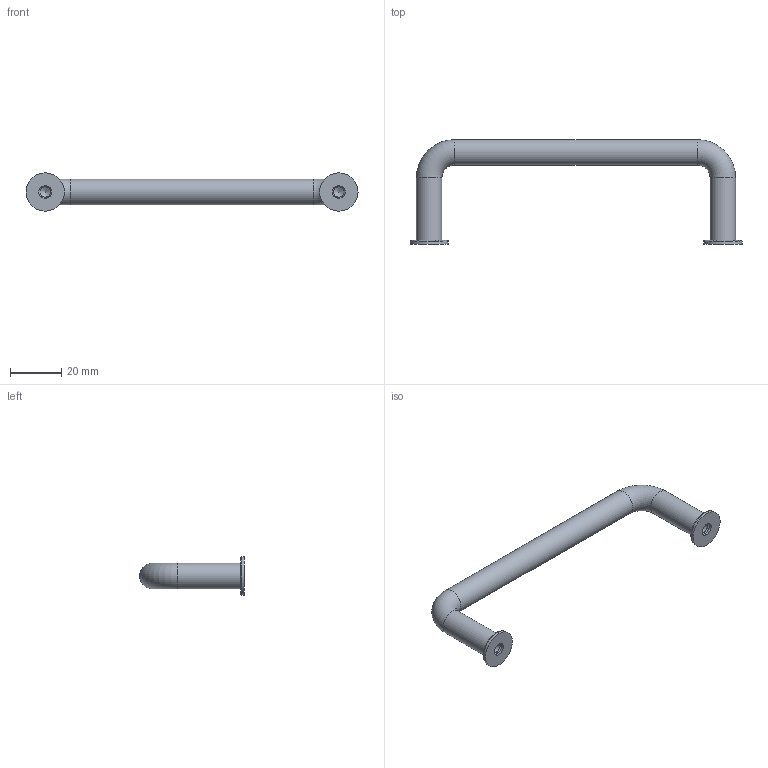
import cadquery as cq
import math

HOLE_SPACING = 115.0
HANDLE_DEPTH = 41.0
ROD_DIAMETER = 10.0
BEND_RADIUS = 10.0

FLANGE_DIAMETER = 15.0
FLANGE_THICKNESS = 1.5
FLANGE_ROUND = 0.5

BORE_DIAMETER = 4.13
COUNTERBORE_DIAMETER = 5.0
COUNTERBORE_DEPTH = 1.0
BORE_DEPTH = 10.0
DRILL_POINT_ANGLE = 120.0

LEG_X = HOLE_SPACING / 2
GRIP_Y = HANDLE_DEPTH - ROD_DIAMETER / 2


def bent_rod():
    """Round rod swept along a U-shaped path with two quarter-circle bends."""
    bend_y = GRIP_Y - BEND_RADIUS
    bend_x = LEG_X - BEND_RADIUS
    path = (
        cq.Workplane("XY")
        .moveTo(-LEG_X, 0)
        .lineTo(-LEG_X, bend_y)
        .tangentArcPoint((-bend_x, GRIP_Y), relative=False)
        .lineTo(bend_x, GRIP_Y)
        .tangentArcPoint((LEG_X, bend_y), relative=False)
        .lineTo(LEG_X, 0)
    )
    return cq.Workplane("XZ", origin=(-LEG_X, 0, 0)).circle(ROD_DIAMETER / 2).sweep(path)


def flange(leg_x):
    """Mounting disc with a rounded rim on the grip side."""
    disc = (
        cq.Workplane("XZ", origin=(leg_x, 0, 0))
        .circle(FLANGE_DIAMETER / 2)
        .extrude(-FLANGE_THICKNESS)
    )
    return disc.faces(">Y").edges().fillet(FLANGE_ROUND)


def bore(leg_x):
    """Blind drilled hole with a counterbore, a 45 degree step and a conical bottom."""
    radius = BORE_DIAMETER / 2
    counterbore_radius = COUNTERBORE_DIAMETER / 2
    step_depth = counterbore_radius - radius
    point_depth = radius / math.tan(math.radians(DRILL_POINT_ANGLE / 2))
    half_profile = [
        (0, 0),
        (counterbore_radius, 0),
        (counterbore_radius, COUNTERBORE_DEPTH),
        (radius, COUNTERBORE_DEPTH + step_depth),
        (radius, BORE_DEPTH),
        (0, BORE_DEPTH + point_depth),
    ]
    profile = cq.Workplane("XY").polyline(half_profile).close()
    return profile.revolve(360, (0, 0, 0), (0, 1, 0)).translate((leg_x, 0, 0))


result = bent_rod()
for leg_axis_x in (-LEG_X, LEG_X):
    result = result.union(flange(leg_axis_x)).cut(bore(leg_axis_x))